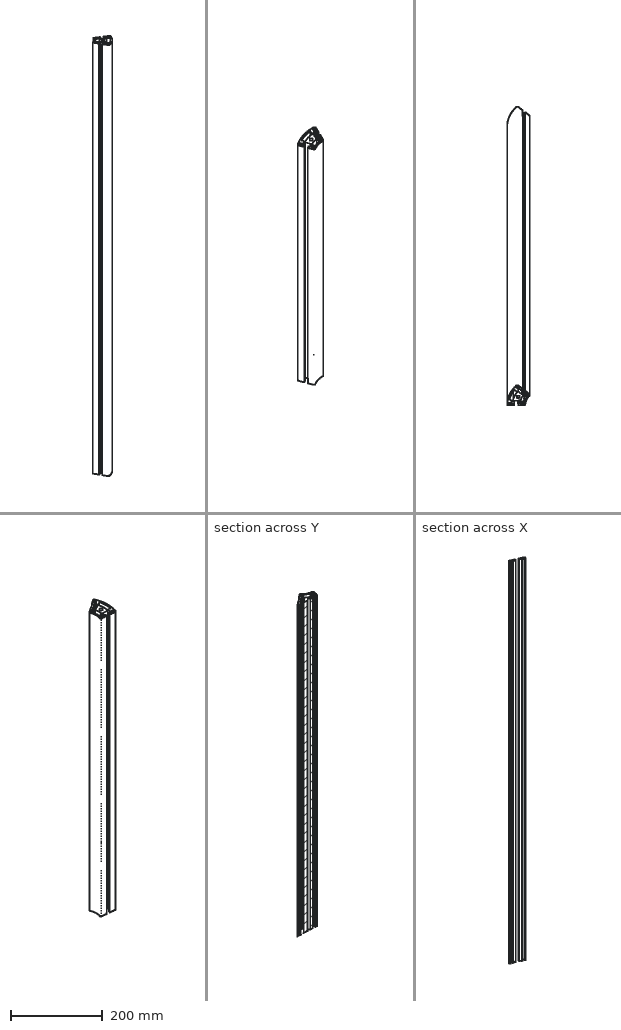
import cadquery as cq
import math

length = 1000.0
sector_angle = 45.0
inner_radius = 40.0
outer_radius = 80.0
edge_radius = 3.0
size_x = 55.0
size_y = 50.0
middle_radius = (inner_radius + outer_radius) / 2
middle_angle = 90.0 - sector_angle / 2

slot_opening = 8.0
slot_width = 20.0
slot_floor_width = 11.0
lip_thickness = 5.0
slot_shoulder_depth = 8.0
slot_depth = 12.0

bore_diameter = 6.8
corner_hole_depth = 4.0
corner_hole_height = 5.0
corner_hole_wall = 3.0
inner_curved_wall = 3.0
outer_curved_wall = 4.0
outer_cavity_floor_radius = 68.0
inner_cavity_roof_radius = 52.0
outer_cavity_half_angle = 11.0
inner_cavity_half_angle = 10.0


def polar(radius, angle):
    return (radius * math.cos(math.radians(angle)), radius * math.sin(math.radians(angle)))


def extruded(outline):
    return outline.close().extrude(length)


def ring_sector(low_radius, high_radius, half_angle):
    """Block between two arcs about the Z axis, centred on the symmetry line."""
    return extruded(
        cq.Workplane("XY")
        .moveTo(*polar(low_radius, middle_angle + half_angle))
        .threePointArc(polar(low_radius, middle_angle), polar(low_radius, middle_angle - half_angle))
        .lineTo(*polar(high_radius, middle_angle - half_angle))
        .threePointArc(polar(high_radius, middle_angle), polar(high_radius, middle_angle + half_angle))
    )


def t_slot():
    """Slot cut into the face at x = 0, with its back tapering to the floor."""
    half_outline = [
        (0, slot_opening / 2),
        (lip_thickness, slot_opening / 2),
        (lip_thickness, slot_width / 2),
        (slot_shoulder_depth, slot_width / 2),
        (slot_depth, slot_floor_width / 2),
    ]
    other_half = [(depth, -offset) for depth, offset in reversed(half_outline)]
    outline = cq.Workplane("XY").polyline(half_outline + other_half)
    return extruded(outline).translate((0, middle_radius, 0))


def corner_holes():
    """Rectangular hollows beside the two edges of the face at x = 0."""
    centre_depth = corner_hole_wall + corner_hole_depth / 2
    centre_offset = corner_hole_wall + corner_hole_height / 2
    centres = [
        (centre_depth, inner_radius + centre_offset),
        (centre_depth, outer_radius - centre_offset),
    ]
    return (
        cq.Workplane("XY").pushPoints(centres)
        .rect(corner_hole_depth, corner_hole_height).extrude(length)
    )


def mirrored_to_other_face(cutter):
    """Mirror a cutter across the symmetry line of the sector."""
    normal_x, normal_y = polar(1, middle_angle - 90)
    return cutter.mirror(cq.Vector(normal_x, normal_y, 0), (0, 0, 0))


half_sector = sector_angle / 2
profile = ring_sector(inner_radius, outer_radius, half_sector)
profile = profile.edges("|Z").fillet(edge_radius)

for cutter in (t_slot(), corner_holes()):
    profile = profile.cut(cutter).cut(mirrored_to_other_face(cutter))

outer_cavity = ring_sector(
    outer_cavity_floor_radius, outer_radius - outer_curved_wall,
    outer_cavity_half_angle,
)
inner_cavity = ring_sector(
    inner_radius + inner_curved_wall, inner_cavity_roof_radius,
    inner_cavity_half_angle,
)
bore = (
    cq.Workplane("XY").center(*polar(middle_radius, middle_angle))
    .circle(bore_diameter / 2).extrude(length)
)
profile = profile.cut(outer_cavity).cut(inner_cavity).cut(bore)

lowest_y = polar(inner_radius, 90 - sector_angle)[1] + edge_radius * (math.sqrt(2) - 1)
result = profile.translate((-size_x / 2, -size_y / 2 - lowest_y, -length / 2))